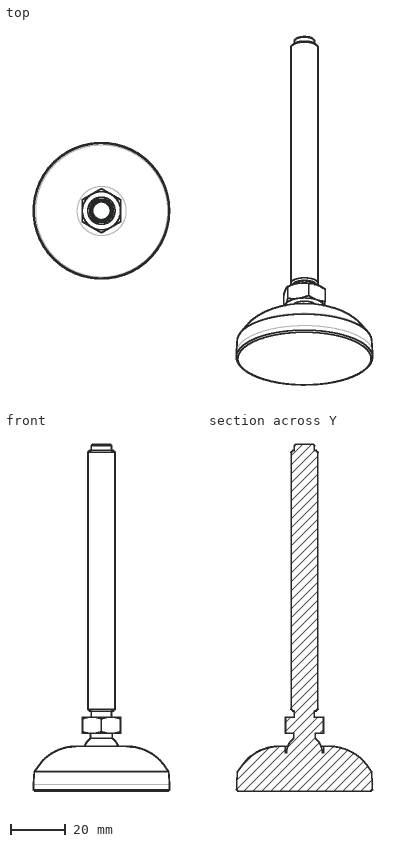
import cadquery as cq
import math

total_height = 127.2

base_radius = 25.0
base_foot_chamfer = 0.6
base_rim_height = 2.5
wall_top_radius = 24.7
wall_top_height = 7.1
dome_edge_radius = 24.2
dome_edge_height = 7.8
dome_top_radius = 9.0
dome_top_height = 16.6

ball_diameter = 13.28
socket_diameter = 14.0
neck_diameter = 8.06
neck_bottom = 19.45

hex_across_flats = 14.0
hex_bottom = 21.2
hex_height = 6.0
hex_chamfer_angle = 30.0
hex_turn = 30.0

rod_diameter = 10.0
rod_bottom = 29.4
rod_chamfer = 0.7
undercut_diameter = 7.5
tip_diameter = 7.5
tip_length = 2.3
tip_chamfer = 0.5

ball_radius = ball_diameter / 2
ball_center = neck_bottom - math.sqrt(ball_radius**2 - (neck_diameter / 2) ** 2)
hex_top = hex_bottom + hex_height
rod_top = total_height - tip_length


def cylinder(diameter, bottom, top):
    """Vertical cylinder on the Z axis between two heights."""
    return cq.Workplane("XY").workplane(offset=bottom).circle(diameter / 2).extrude(top - bottom)


def make_base():
    """Revolved disc: chamfered foot, tapered wall and a dome arc tangent to the flat top."""
    dome_run = dome_edge_radius - dome_top_radius
    dome_drop = dome_top_height - dome_edge_height
    dome_arc_radius = (dome_run**2 + dome_drop**2) / (2 * dome_drop)
    half_sweep = math.asin(dome_run / dome_arc_radius) / 2
    dome_middle = (
        dome_top_radius + dome_arc_radius * math.sin(half_sweep),
        dome_top_height - dome_arc_radius * (1 - math.cos(half_sweep)),
    )
    return (
        cq.Workplane("XZ")
        .lineTo(base_radius - base_foot_chamfer, 0)
        .lineTo(base_radius, base_foot_chamfer)
        .lineTo(base_radius, base_rim_height)
        .lineTo(wall_top_radius, wall_top_height)
        .lineTo(dome_edge_radius, dome_edge_height)
        .threePointArc(dome_middle, (dome_top_radius, dome_top_height))
        .lineTo(0, dome_top_height)
        .close()
        .revolve(360, (0, 0), (0, 1))
    )


def make_ball():
    """Ball whose surface meets the neck at the bottom of the neck."""
    return cq.Workplane("XY").workplane(offset=ball_center).sphere(ball_radius)


def make_hexagon():
    """Hexagon with corners toward +Y and -Y, both ends cone-chamfered."""
    corner_radius = hex_across_flats / math.sqrt(3)
    flat_radius = hex_across_flats / 2
    chamfer_height = (corner_radius - flat_radius) * math.tan(math.radians(hex_chamfer_angle))
    prism = (
        cq.Workplane("XY")
        .workplane(offset=hex_bottom)
        .polygon(6, 2 * corner_radius)
        .extrude(hex_height)
        .rotate((0, 0, 0), (0, 0, 1), hex_turn)
    )
    envelope = (
        cylinder(2 * corner_radius, hex_bottom, hex_top)
        .faces("<Z or >Z")
        .chamfer(chamfer_height, corner_radius - flat_radius)
    )
    return prism.intersect(envelope)


def make_rod():
    """Rod with chamfered ends and a reduced, chamfered tip."""
    shank = cylinder(rod_diameter, rod_bottom, rod_top).faces("<Z or >Z").chamfer(rod_chamfer)
    tip = cylinder(tip_diameter, rod_top, total_height).faces(">Z").chamfer(tip_chamfer)
    return shank.union(tip)


socket = cylinder(socket_diameter, ball_center, dome_top_height)
neck = cylinder(neck_diameter, ball_center, hex_bottom)
undercut = cylinder(undercut_diameter, hex_top, rod_bottom)

result = (
    make_base()
    .cut(socket)
    .union(make_ball())
    .union(neck)
    .union(make_hexagon())
    .union(undercut)
    .union(make_rod())
)